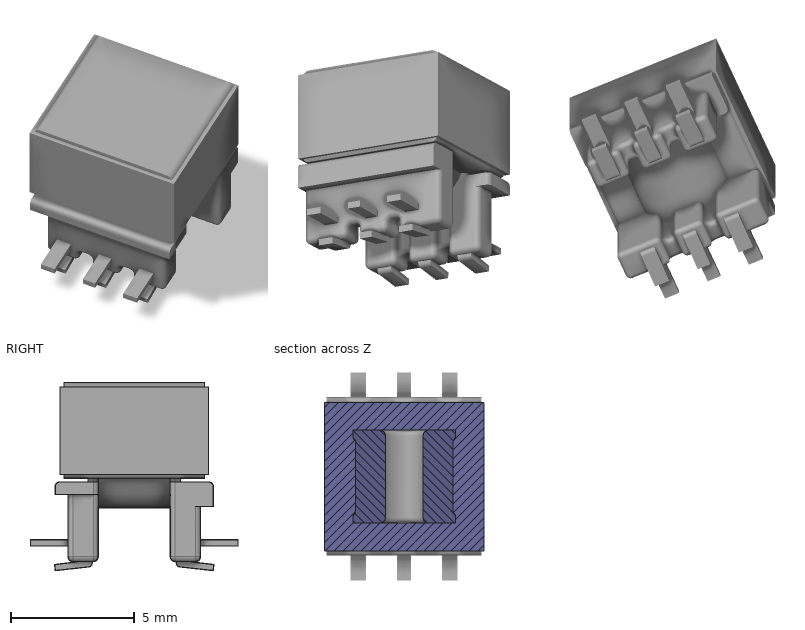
import cadquery as cq

EDGE_RADIUS = 0.2
MARGIN = 0.01

BAND_X = 6.47
BAND_Y = 6.015
BAND_BOTTOM = 3.52
BAND_TOP = 7.065
CORE_X = 6.165
CORE_Y = 5.695
CORE_BOTTOM = 3.36
CORE_TOP = 7.24
CORE_RADIUS = 0.25

TUBE_RADIUS = 2.0
TUBE_AXIS_Z = 4.17
BORE_RADIUS = 0.86
FLANGE_RADIUS = 2.07
FLANGE_INNER_Y = 1.45
FLANGE_OUTER_Y = 1.87

LEG_TOP = 3.225
LEG_INNER_Y = FLANGE_INNER_Y
LEG_OUTER_Y = 2.68
LIP_OUTER_Y = 3.2
LIP_X = 6.27
FRONT_LEG_X = 5.31
BACK_LEG_X = LIP_X
FRONT_LIP_BOTTOM = 2.705
BACK_LIP_BOTTOM = 2.22

PASSAGE_PLACES = (-0.92, 0.92)
PASSAGE_WIDTH = 0.59
ARCH_TOP = 0.54
GROOVE_FLOOR_Y = FLANGE_OUTER_Y

SIDE_TERMINAL_X = 1.85
SIDE_TERMINAL_WIDTH = 0.62
MIDDLE_TERMINAL_WIDTH = 0.555
TERMINALS = (
    (-SIDE_TERMINAL_X, SIDE_TERMINAL_WIDTH),
    (0.0, MIDDLE_TERMINAL_WIDTH),
    (SIDE_TERMINAL_X, SIDE_TERMINAL_WIDTH),
)
LEAD_END_Y = 4.2
LEAD_BOTTOM = 0.63
LEAD_TOP = 0.89
FOOT_HEEL = (1.7, -0.2)
FOOT_HEEL_RADIUS = 0.17
FOOT_TOE_BOTTOM = (3.19, -0.37)
FOOT_TOE_TOP = (3.225, -0.12)
FOOT_TOP_MEETS_LEG_Y = 2.27


def box(x_size, y_range, z_range):
    """A block centred on X = 0 between the given Y and Z limits."""
    y_size = y_range[1] - y_range[0]
    z_size = z_range[1] - z_range[0]
    block = cq.Workplane("XY").box(x_size, y_size, z_size, centered=(True, False, False))
    return block.translate((0, y_range[0], z_range[0]))


def rounded_box(x_size, y_range, z_range, rounded_edges, radius=EDGE_RADIUS):
    """A block whose edges named by a selector are rounded."""
    return box(x_size, y_range, z_range).edges(rounded_edges).fillet(radius)


def facing_y(y):
    """A sketch plane facing +Y, with local X along -X and local Y along Z."""
    return cq.Workplane("XZ", origin=(0, y, 0)).transformed(rotate=(0, 180, 0))


def rod_through_form(radius):
    """A round rod on the tube axis, as long as the winding form."""
    start = facing_y(-FLANGE_OUTER_Y).center(0, TUBE_AXIS_Z)
    return start.circle(radius).extrude(2 * FLANGE_OUTER_Y)


def make_flange():
    """The +Y flange: straight sides below the tube axis and a round top."""
    return (
        facing_y(FLANGE_INNER_Y)
        .moveTo(-FLANGE_RADIUS, LEG_TOP)
        .lineTo(FLANGE_RADIUS, LEG_TOP)
        .lineTo(FLANGE_RADIUS, TUBE_AXIS_Z)
        .threePointArc((0, TUBE_AXIS_Z + FLANGE_RADIUS), (-FLANGE_RADIUS, TUBE_AXIS_Z))
        .close()
        .extrude(FLANGE_OUTER_Y - FLANGE_INNER_Y)
        .faces("<Y")
        .edges("not <Z")
        .fillet(EDGE_RADIUS)
    )


def make_winding_form():
    """The tube and both flanges, without the bore."""
    flange = make_flange()
    return rod_through_form(TUBE_RADIUS).union(flange).union(flange.mirror("XZ"))


def cut_bore(form):
    """Bore the tube from end to end and round both mouths."""
    reach = BORE_RADIUS + MARGIN
    mouths = cq.selectors.BoxSelector(
        (-reach, -FLANGE_OUTER_Y - MARGIN, TUBE_AXIS_Z - reach),
        (reach, FLANGE_OUTER_Y + MARGIN, TUBE_AXIS_Z + reach),
        boundingbox=True,
    )
    bored = form.cut(rod_through_form(BORE_RADIUS))
    return bored.edges(mouths).edges("%CIRCLE").fillet(EDGE_RADIUS)


def make_leg(leg_x, lip_bottom):
    """A +Y leg with its lip, wire passages and rounded edges."""
    leg = box(leg_x, (LEG_INNER_Y, LEG_OUTER_Y), (0, LEG_TOP))
    shoulder = rounded_box(LIP_X, (LEG_INNER_Y, LEG_OUTER_Y), (FRONT_LIP_BOTTOM, LEG_TOP), "|Z and <Y")
    lip = rounded_box(LIP_X, (GROOVE_FLOOR_Y, LIP_OUTER_Y), (lip_bottom, LEG_TOP), "|X and >Y and >Z")

    arch = rounded_box(PASSAGE_WIDTH, (LEG_INNER_Y, LEG_OUTER_Y), (0, ARCH_TOP), "|Y and >Z")
    groove = rounded_box(PASSAGE_WIDTH, (LEG_INNER_Y, GROOVE_FLOOR_Y), (0, LEG_TOP), "|Z and >Y")
    for x in PASSAGE_PLACES:
        place = (x, 0, 0)
        leg = leg.cut(arch.translate(place)).cut(groove.translate(place))
        shoulder = shoulder.cut(groove.translate(place))

    leg = leg.faces("<Y or >Y or <Z").edges("not >Z").fillet(EDGE_RADIUS)
    arch_rims_in_grooves = cq.selectors.BoxSelector(
        (-leg_x / 2, LEG_INNER_Y + MARGIN, EDGE_RADIUS + MARGIN),
        (leg_x / 2, GROOVE_FLOOR_Y + MARGIN, ARCH_TOP + MARGIN),
        boundingbox=True,
    )
    leg = leg.edges(arch_rims_in_grooves).fillet(EDGE_RADIUS)
    return leg.union(shoulder).union(lip)


def make_terminal(x, width):
    """A +Y terminal: a level lead above a sloping foot, joined inside the leg."""
    heel_y = FOOT_HEEL[0]
    lead = box(width, (heel_y, LEAD_END_Y), (LEAD_BOTTOM, LEAD_TOP))
    foot = (
        cq.Workplane("YZ", origin=(-width / 2, 0, 0))
        .moveTo(heel_y, LEAD_BOTTOM)
        .lineTo(*FOOT_HEEL)
        .lineTo(*FOOT_TOE_BOTTOM)
        .lineTo(*FOOT_TOE_TOP)
        .lineTo(FOOT_TOP_MEETS_LEG_Y, 0)
        .lineTo(FOOT_TOP_MEETS_LEG_Y, LEAD_BOTTOM)
        .close()
        .extrude(width)
    )
    heel_edge = cq.selectors.NearestToPointSelector((0, *FOOT_HEEL))
    foot = foot.edges("|X").edges(heel_edge).fillet(FOOT_HEEL_RADIUS)
    return lead.union(foot).translate((x, 0, 0))


def make_end(leg_x, lip_bottom):
    """A +Y leg together with its three terminals."""
    end = make_leg(leg_x, lip_bottom)
    for x, width in TERMINALS:
        end = end.union(make_terminal(x, width))
    return end


def make_bobbin():
    """The bored winding form standing on its front and back legs."""
    back_end = make_end(BACK_LEG_X, BACK_LIP_BOTTOM)
    front_end = make_end(FRONT_LEG_X, FRONT_LIP_BOTTOM).mirror("XZ")
    return cut_bore(make_winding_form()).union(back_end).union(front_end)


def make_core():
    """The banded core block with a pocket that fits the winding form."""
    block = rounded_box(CORE_X, (-CORE_Y / 2, CORE_Y / 2), (CORE_BOTTOM, CORE_TOP), "|Y", CORE_RADIUS)
    band = box(BAND_X, (-BAND_Y / 2, BAND_Y / 2), (BAND_BOTTOM, BAND_TOP))
    return block.union(band).cut(make_winding_form())


core = make_core()
bobbin = make_bobbin()
result = cq.Compound.makeCompound([core.solids().val(), bobbin.solids().val()])